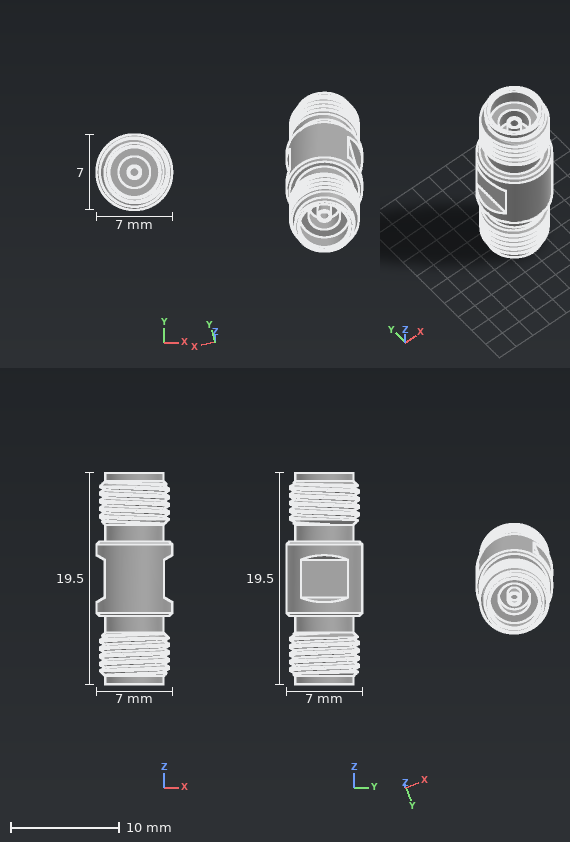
import cadquery as cq
import math

length = 19.51
half_length = length / 2

body_radius = 3.502
body_length = 6.9
body_chamfer = 0.3
flat_distance = 2.75
flat_height = 3.47
flat_end_angle = 30.0

neck_radius = 2.7
thread_radius = 3.18
thread_root_radius = 2.75
thread_pitch = 0.706
thread_flank_angle = 30.0
thread_root_width = 0.02
thread_start = 0.76
thread_length = 4.02
groove_phase_depth = 2.6
groove_turns = 7.3
groove_turns_below = 4
cutter_overshoot = 0.05

bore_radius = 2.3
bore_depth = 1.91
mouth_radius = 2.44
mouth_depth = 0.18
inner_radius = 1.46
inner_depth = 1.95

contact_radius = 0.62
contact_hole_radius = 0.47
contact_hole_chamfer = 0.1
contact_hole_depth = 1.37


def cylinder(radius, bottom, top):
    return cq.Workplane("XY").workplane(offset=bottom).circle(radius).extrude(top - bottom)


def wrench_body():
    body = cylinder(body_radius, -body_length / 2, body_length / 2)
    body = body.faces("<Z or >Z").chamfer(body_chamfer)
    notch_depth = body_radius - flat_distance
    inner_half = flat_height / 2
    outer_half = inner_half + notch_depth * math.tan(math.radians(flat_end_angle))
    notch = (
        cq.Workplane("XZ")
        .polyline([
            (flat_distance, -inner_half),
            (body_radius, -outer_half),
            (body_radius, outer_half),
            (flat_distance, inner_half),
        ])
        .close()
        .extrude(body_radius, both=True)
    )
    return body.cut(notch).cut(notch.mirror("YZ"))


def groove_helix(radius, start_height):
    return cq.Wire.makeHelix(
        thread_pitch,
        groove_turns * thread_pitch,
        radius,
        center=cq.Vector(0, 0, start_height),
        lefthand=True,
    )


def thread_groove():
    """Left-handed V groove, starting on the +X side and outrunning the band at both ends."""
    start = half_length - groove_phase_depth - groove_turns_below * thread_pitch
    outer_radius = thread_radius + cutter_overshoot
    root_half = thread_root_width / 2
    flank_slope = math.tan(math.radians(thread_flank_angle))
    outer_half = root_half + (outer_radius - thread_root_radius) * flank_slope
    edges = [
        groove_helix(thread_root_radius, start - root_half),
        groove_helix(outer_radius, start - outer_half),
        groove_helix(outer_radius, start + outer_half),
        groove_helix(thread_root_radius, start + root_half),
    ]
    next_edges = edges[1:] + edges[:1]
    faces = [cq.Face.makeRuledSurface(edge, after) for edge, after in zip(edges, next_edges)]
    for end in (0, 1):
        corners = [edge.positionAt(end) for edge in edges]
        faces.append(cq.Face.makeFromWires(cq.Wire.makePolygon(corners, close=True)))
    return cq.Workplane(cq.Solid.makeSolid(cq.Shell.makeShell(faces)))


def threaded_band():
    top = half_length - thread_start
    band = cylinder(thread_radius, top - thread_length, top)
    band = band.faces("<Z or >Z").chamfer(thread_radius - neck_radius)
    band = band.rotate((0, 0, 0), (0, 0, 1), 90)
    return band.cut(thread_groove(), clean=False)


def socket():
    """Space removed from one end, leaving the hollow centre contact standing."""
    bore_floor = half_length - bore_depth
    mouth = (
        cq.Workplane("XY")
        .workplane(offset=half_length)
        .circle(mouth_radius)
        .workplane(offset=-mouth_depth)
        .circle(bore_radius)
        .loft(ruled=True)
    )
    contact_bottom = bore_floor - inner_depth
    contact = cylinder(contact_radius, contact_bottom, bore_floor)
    contact_hole = cylinder(contact_hole_radius, bore_floor - contact_hole_depth, bore_floor)
    contact = contact.cut(contact_hole)
    contact = contact.faces(">Z").edges(cq.selectors.RadiusNthSelector(0))
    contact = contact.chamfer(contact_hole_chamfer)
    space = cylinder(bore_radius, bore_floor, half_length).union(mouth)
    return space.union(cylinder(inner_radius, contact_bottom, bore_floor)).cut(contact)


def threaded_end():
    neck = cylinder(neck_radius, 0, half_length)
    return neck.union(threaded_band()).cut(socket())


upper_end = threaded_end()
lower_end = upper_end.mirror("XY")
result = wrench_body().union(upper_end).union(lower_end)